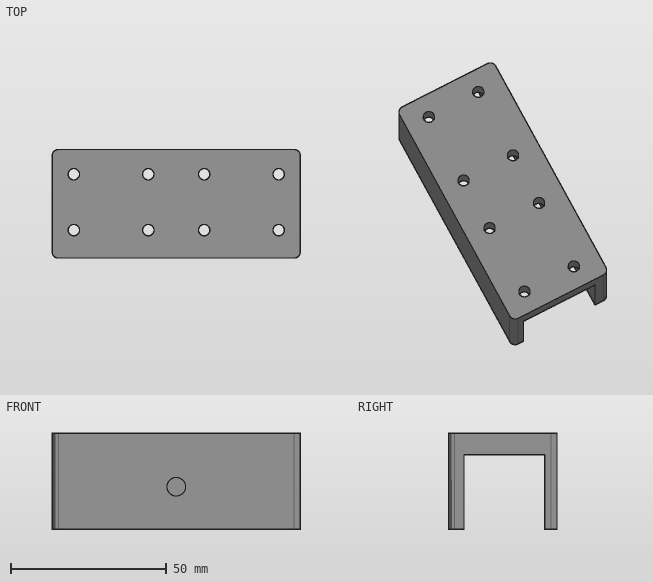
import cadquery as cq

length = 80.0
width = 35.0
height = 31.0
corner_radius = 2.0

front_wall = 5.0
back_wall = 4.0
top_thickness = 7.0

mount_diameter = 3.6
outer_spacing = 66.0
inner_spacing = 18.0
row_spacing = 18.0

side_diameter = 6.0
side_height = 13.8

channel_width = width - front_wall - back_wall
channel_height = height - top_thickness
channel_center_y = (front_wall - back_wall) / 2


def make_block():
    block = cq.Workplane("XY").box(length, width, height, centered=(True, True, False))
    return block.edges("|Z").fillet(corner_radius)


def make_channel():
    channel = cq.Workplane("XY").box(length, channel_width, channel_height, centered=(True, True, False))
    return channel.translate((0, channel_center_y, 0))


def make_mount_holes():
    centers = [
        (side * spacing / 2, channel_center_y + row * row_spacing / 2)
        for spacing in (outer_spacing, inner_spacing)
        for side in (-1, 1)
        for row in (-1, 1)
    ]
    return cq.Workplane("XY").pushPoints(centers).circle(mount_diameter / 2).extrude(height)


def make_side_hole():
    plane = cq.Workplane("XZ", origin=(0, -width / 2, side_height))
    return plane.circle(side_diameter / 2).extrude(-front_wall)


result = make_block().cut(make_channel()).cut(make_mount_holes()).cut(make_side_hole())